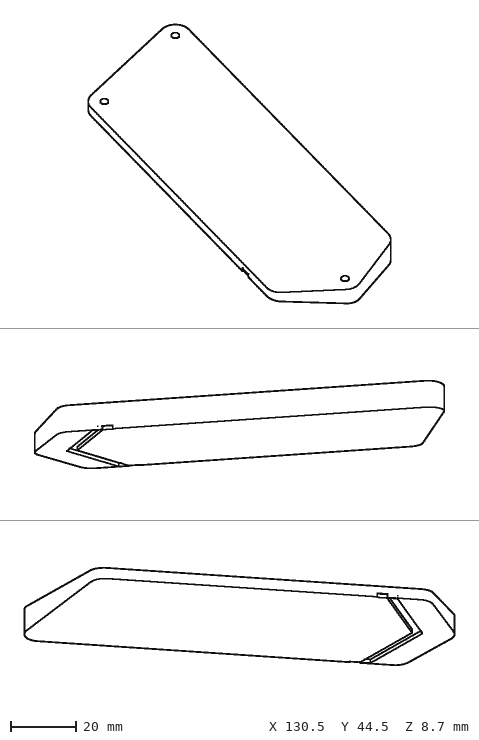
import cadquery as cq
import math

length = 130.5
width = 44.5
corner_radius = 5.0
front_left_x = 18.0
shoulder_x = 115.7

back_height = 8.7
front_height = 3.5

hole_diameter = 2.5
hole_depth = 2.1
drill_point_angle = 118

groove_width = 3.3
groove_depth = 1.2
groove_start_x = 105.3
groove_tip_x = 117.3
edge_skin = 0.4

notch_start_x = 102.1
notch_width = 3.3

back_y = width - corner_radius
front_left = (front_left_x, corner_radius)
front_right = (shoulder_x, corner_radius)
tip = (length - corner_radius, width / 2)
back_right = (shoulder_x, back_y)
back_left = (corner_radius, back_y)
corners = [front_left, front_right, tip, back_right, back_left]


def rounded_plate():
    """Full-height plate whose corners are arcs around the corner centres."""
    core = cq.Workplane("XY").polyline(corners).close()
    return core.offset2D(corner_radius, "arc").extrude(back_height)


def underside_wedge(depth=0.0):
    """Space below the sloping underside, raised into the plate by depth."""
    front_z = back_height - front_height + depth
    profile = [(0, 0), (width, 0), (0, front_z)]
    if depth > 0:
        profile.insert(2, (width, depth))
    return (
        cq.Workplane("YZ")
        .polyline(profile)
        .close()
        .extrude(length)
    )


def chevron_groove():
    """Constant-depth groove following the slope, pointing toward +X."""
    left_side = [
        (groove_start_x, edge_skin),
        (groove_tip_x, width / 2),
        (groove_start_x, width - edge_skin),
    ]
    right_side = [(x + groove_width, y) for x, y in reversed(left_side)]
    prism = cq.Workplane("XY").polyline(left_side + right_side).close().extrude(back_height)
    return prism.intersect(underside_wedge(groove_depth))


def edge_notches():
    """Shallow notches beside the groove ends, open to the front or back and below."""
    center_x = notch_start_x + notch_width / 2
    prisms = (
        cq.Workplane("XY")
        .pushPoints([(center_x, edge_skin / 2), (center_x, width - edge_skin / 2)])
        .rect(notch_width, edge_skin)
        .extrude(back_height)
    )
    return prisms.intersect(underside_wedge(groove_depth))


def screw_holes():
    """Drilled holes with conical ends, concentric with the left corners and the tip."""
    radius = hole_diameter / 2
    point_length = radius / math.tan(math.radians(drill_point_angle / 2))
    floor_z = back_height - hole_depth
    drill = (
        cq.Workplane("XZ")
        .polyline([(0, back_height), (radius, back_height), (radius, floor_z), (0, floor_z - point_length)])
        .close()
        .revolve(360, (0, 0, 0), (0, 1, 0))
    )
    holes = cq.Workplane("XY")
    for x, y in [front_left, tip, back_left]:
        holes = holes.add(drill.translate((x, y, 0)))
    return holes.combine()


result = (
    rounded_plate()
    .cut(underside_wedge())
    .cut(chevron_groove())
    .cut(edge_notches())
    .cut(screw_holes())
)